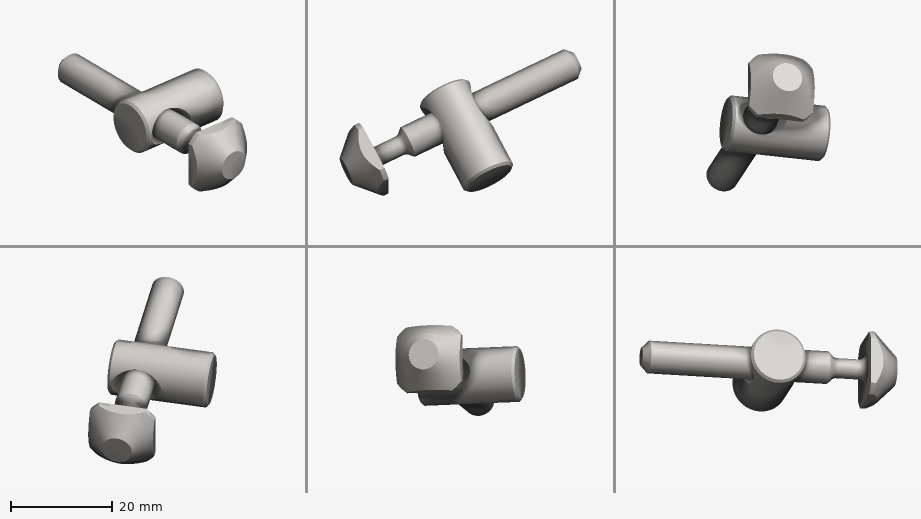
import cadquery as cq
import math


overall_length = 51.0
shank_diameter = 6.5
tip_chamfer = 1.45
shank_end_x = 37.5
neck_diameter = 4.0
neck_fillet = 1.35
shoulder_angle = math.radians(45)

head_side = 13.0
head_blank_diameter = 16.0
head_face_diameter = 6.0
head_back_x = 44.95

barrel_diameter = 11.0
barrel_length = 20.0
barrel_chamfer = 0.5
barrel_center_x = 26.5
barrel_front_y = -5.95

bolt_hole_diameter = 7.1
flare_mouth_diameter = 10.2


def make_bolt():
    shank_radius = shank_diameter / 2
    neck_radius = neck_diameter / 2
    blank_radius = head_blank_diameter / 2
    face_radius = head_face_diameter / 2
    cone_start_x = overall_length - (blank_radius - face_radius)

    fillet_center_radius = neck_radius + neck_fillet
    shoulder_end_radius = fillet_center_radius - neck_fillet * math.cos(shoulder_angle)
    shoulder_end_x = shank_end_x + (shank_radius - shoulder_end_radius) / math.tan(shoulder_angle)
    neck_start_x = shoulder_end_x + neck_fillet * math.sin(shoulder_angle)
    shoulder_arc_middle = (
        neck_start_x - neck_fillet * math.sin(shoulder_angle / 2),
        fillet_center_radius - neck_fillet * math.cos(shoulder_angle / 2),
    )

    neck_end_x = head_back_x - neck_fillet
    head_arc_middle = (
        neck_end_x + neck_fillet * math.sin(math.pi / 4),
        fillet_center_radius - neck_fillet * math.cos(math.pi / 4),
    )

    turned_blank = (
        cq.Workplane("XY")
        .moveTo(0, 0)
        .lineTo(0, shank_radius - tip_chamfer)
        .lineTo(tip_chamfer, shank_radius)
        .lineTo(shank_end_x, shank_radius)
        .lineTo(shoulder_end_x, shoulder_end_radius)
        .threePointArc(shoulder_arc_middle, (neck_start_x, neck_radius))
        .lineTo(neck_end_x, neck_radius)
        .threePointArc(head_arc_middle, (head_back_x, fillet_center_radius))
        .lineTo(head_back_x, blank_radius)
        .lineTo(cone_start_x, blank_radius)
        .lineTo(overall_length, face_radius)
        .lineTo(overall_length, 0)
        .close()
        .revolve(360, (0, 0, 0), (1, 0, 0))
    )
    square_envelope = cq.Workplane("YZ").rect(head_side, head_side).extrude(overall_length)
    return turned_blank.intersect(square_envelope)


def make_flared_hole():
    hole_radius = bolt_hole_diameter / 2
    mouth_radius = flare_mouth_diameter / 2
    mouth_offset = barrel_diameter / 2
    throat_offset = mouth_offset - (mouth_radius - hole_radius)
    return (
        cq.Workplane("XY", origin=(barrel_center_x, 0, 0))
        .moveTo(-mouth_offset, 0)
        .lineTo(-mouth_offset, mouth_radius)
        .lineTo(-throat_offset, hole_radius)
        .lineTo(throat_offset, hole_radius)
        .lineTo(mouth_offset, mouth_radius)
        .lineTo(mouth_offset, 0)
        .close()
        .revolve(360, (0, 0, 0), (1, 0, 0))
    )


def make_barrel():
    cylinder = (
        cq.Workplane("XZ", origin=(barrel_center_x, barrel_front_y, 0))
        .circle(barrel_diameter / 2)
        .extrude(-barrel_length)
        .edges()
        .chamfer(barrel_chamfer)
    )
    return cylinder.cut(make_flared_hole())


bolt = make_bolt()
barrel = make_barrel()

result = cq.Compound.makeCompound([*bolt.solids().vals(), *barrel.solids().vals()])